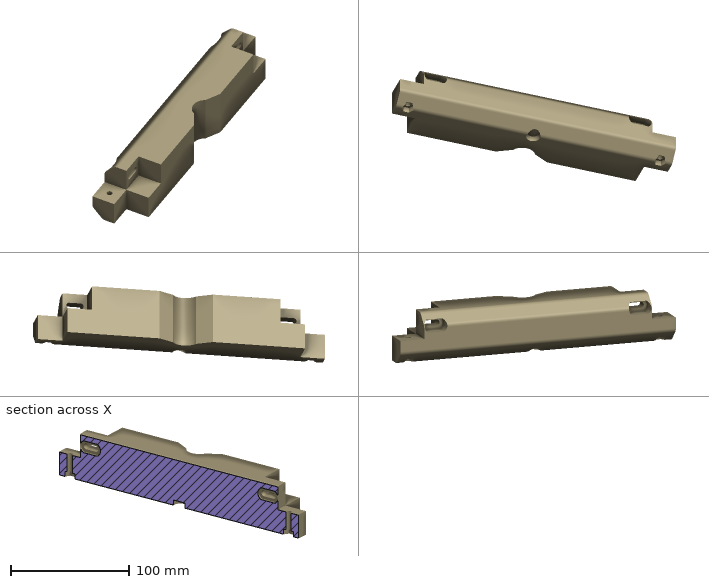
import cadquery as cq
import math

length = 247.4
width = 42.5
height = 42.8
half_width = width / 2
half_height = height / 2

bevel = 10.1
bevel_blend_radius = 5.0

lap_length = 21.3
lap_clearance = 0.2
lap_x = half_width - lap_clearance
lap_z = half_height + lap_clearance
shoulder_y = length / 2 - lap_length
bolt_x = half_width / 2
bolt_y = length / 2 - lap_length / 2
bolt_diameter = 5.0
nut_across_corners = 10.1
bottom_pocket_depth = 5.0
center_pocket_diameter = 12.0
center_pocket_x = 12.4

slot_length = 14.8
slot_width = 5.2
slot_recess_length = 20.3
slot_recess_diameter = 12.0
slot_recess_height = 10.5
slot_recess_depth = 11.9
slot_end_wall = 0.5
slot_y = shoulder_y - slot_end_wall - slot_recess_length / 2
slot_z = height - half_height / 2

notch_mouth_half = 23.0
notch_throat_half = 10.0
notch_throat_depth = 7.2
notch_depth = 13.0


def box(x_min, y_min, z_min, x_size, y_size, z_size):
    """Box placed by its minimum corner."""
    return cq.Workplane("XY").box(x_size, y_size, z_size, centered=False).translate((x_min, y_min, z_min))


def bevelled_bar():
    """Full-length bar with two bevels blended into the neighbouring faces."""
    bar = box(0, -length / 2, 0, width, length, height)
    bar = bar.edges("|Y and <X").chamfer(bevel)
    bevel_edges = bar.edges("|Y").filter(lambda edge: edge.Center().x < half_width)
    return bevel_edges.fillet(bevel_blend_radius)


def end_cuts(side):
    """Removed material at one end: upper lap, square-side lap and upper corner step."""
    end_y = shoulder_y if side > 0 else -length / 2
    step_y = shoulder_y - lap_length if side > 0 else -shoulder_y
    upper_lap = box(0, end_y, lap_z, width, lap_length, height - lap_z)
    side_lap = box(lap_x, end_y, 0, width - lap_x, lap_length, height)
    corner_step = box(lap_x, step_y, lap_z, width - lap_x, lap_length, height - lap_z)
    return upper_lap.union(side_lap).union(corner_step)


def end_bolt_cut(side):
    """Vertical bolt hole with a hexagonal nut pocket, flats facing X."""
    base = cq.Workplane("XY").center(bolt_x, side * bolt_y)
    hole = base.circle(bolt_diameter / 2).extrude(lap_z)
    corner_radius = nut_across_corners / 2
    corners = []
    for index in range(6):
        angle = math.radians(30 + 60 * index)
        corners.append((corner_radius * math.cos(angle), corner_radius * math.sin(angle)))
    nut_pocket = base.polyline(corners).close().extrude(bottom_pocket_depth)
    return hole.union(nut_pocket)


def slot_cut(side):
    """Through slot along X with a wider, flat-sided recess from the bevelled side."""
    base = cq.Workplane("YZ").center(side * slot_y, slot_z)
    through_slot = base.slot2D(slot_length, slot_width).extrude(width)
    recess = base.slot2D(slot_recess_length, slot_recess_diameter).extrude(slot_recess_depth)
    height_limit = base.rect(slot_recess_length, slot_recess_height).extrude(slot_recess_depth)
    return through_slot.union(recess.intersect(height_limit))


def center_pocket():
    """Blind round pocket in the underside at mid-length."""
    base = cq.Workplane("XY").center(center_pocket_x, 0)
    return base.circle(center_pocket_diameter / 2).extrude(bottom_pocket_depth)


def side_notch():
    """Flared notch with a round bottom, through the full height."""
    throat_x = width - notch_throat_depth
    outline = (
        cq.Workplane("XY")
        .moveTo(width, -notch_mouth_half)
        .lineTo(throat_x, -notch_throat_half)
        .threePointArc((width - notch_depth, 0), (throat_x, notch_throat_half))
        .lineTo(width, notch_mouth_half)
        .close()
    )
    return outline.extrude(height)


result = bevelled_bar().cut(side_notch()).cut(center_pocket())
for side in (-1, 1):
    result = result.cut(end_cuts(side)).cut(end_bolt_cut(side)).cut(slot_cut(side))